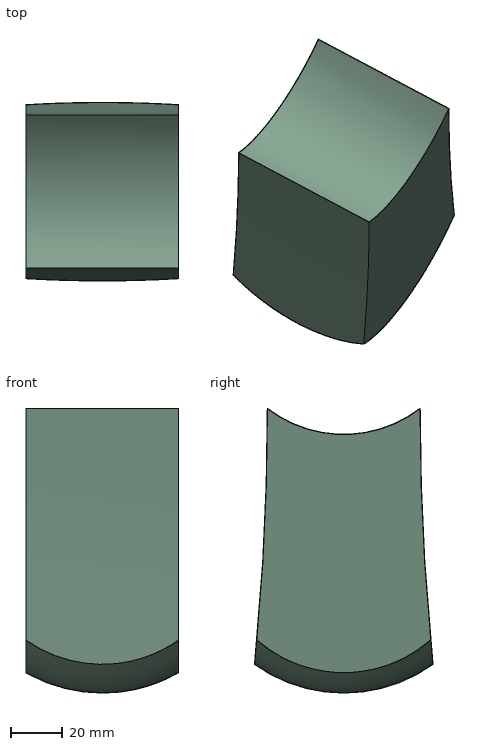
import cadquery as cq
import math

height = 111.6
width = 60.0
base_depth = 70.0
dome_radius = 60.0
saddle_radius = 49.1

half_top = width / 2
half_base = base_depth / 2

base_edge_z = dome_radius - math.sqrt(dome_radius**2 - half_base**2)
flare_drop = height - base_edge_z
flare_offset = half_base - half_top
flare_radius = (flare_drop**2 + flare_offset**2) / (2 * flare_offset)


def flare_y(z):
    """Half-depth of the flared profile at height z."""
    return half_top + flare_radius - math.sqrt(flare_radius**2 - (height - z) ** 2)


def flared_block():
    """Block with concave sides and a cylindrical saddle across its top."""
    middle_z = height / 2
    saddle_center_z = height + math.sqrt(saddle_radius**2 - half_top**2)
    saddle_bottom_z = saddle_center_z - saddle_radius
    return (
        cq.Workplane("YZ")
        .moveTo(-half_top, height)
        .threePointArc((0, saddle_bottom_z), (half_top, height))
        .threePointArc((flare_y(middle_z), middle_z), (flare_y(0), 0))
        .lineTo(-flare_y(0), 0)
        .threePointArc((-flare_y(middle_z), middle_z), (-half_top, height))
        .close()
        .extrude(width / 2, both=True)
    )


def domed_envelope():
    """Round-ended column whose lower hemisphere shapes the bottom."""
    dome = cq.Workplane("XY").sphere(dome_radius).translate((0, 0, dome_radius))
    column = (
        cq.Workplane("XY")
        .workplane(offset=dome_radius)
        .circle(dome_radius)
        .extrude(height - dome_radius)
    )
    lower_dome = dome.intersect(
        cq.Workplane("XY").box(2 * dome_radius, 2 * dome_radius, dome_radius, centered=(True, True, False))
    )
    return lower_dome.union(column)


result = flared_block().intersect(domed_envelope())